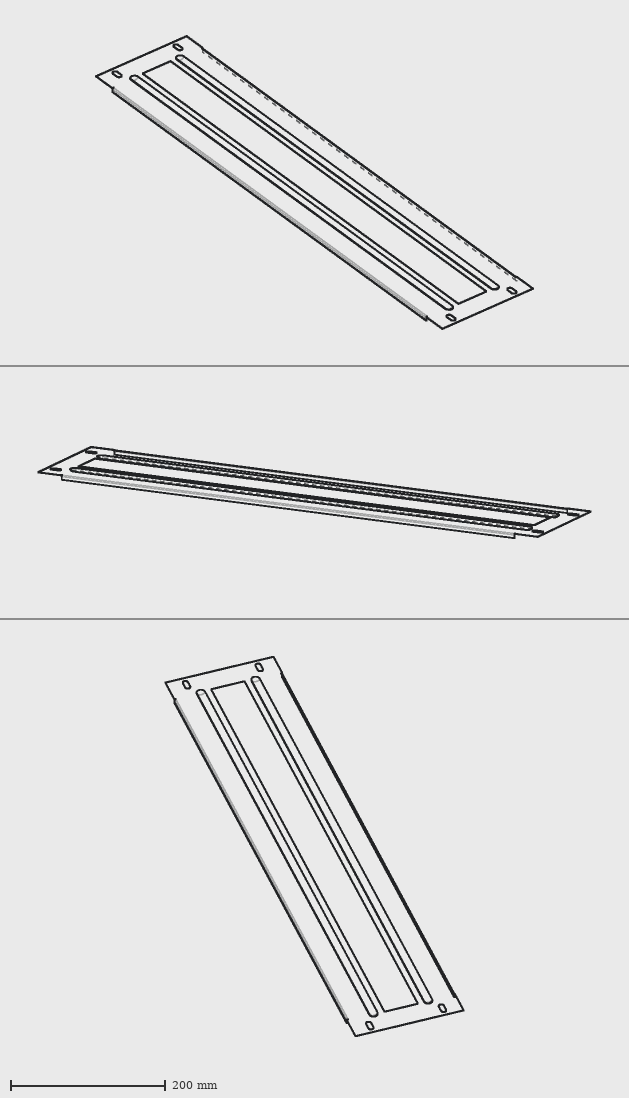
import cadquery as cq
import math

length = 730.0
width = 149.0
height = 6.5
thickness = 0.8

flange_length = 661.5
bend_outer_radius = 2.05
bend_inner_radius = bend_outer_radius - thickness

window_length = 666.0
window_width = 46.0

slot_length = 15.0
slot_width = 6.9
slot_spacing_x = 704.0
slot_spacing_y = 100.0

bead_spacing = 75.0
bead_straight_length = 662.0
groove_width = 11.0
groove_depth = 3.15
groove_radius = ((groove_width / 2) ** 2 + groove_depth**2) / (2 * groove_depth)
groove_axis_height = groove_radius - groove_depth
bead_outer_radius = groove_radius + thickness


def bar(bar_length, bar_width, bar_height):
    """Block centred on X and Y, hanging down from Z = 0."""
    return cq.Workplane("XY").rect(bar_length, bar_width).extrude(-bar_height)


def folded_channel():
    """Middle stretch of the panel with both long edges bent down."""
    outer = bar(flange_length, width, height).edges("|X and >Z").fillet(bend_outer_radius)
    inner = (
        bar(flange_length, width - 2 * thickness, height - thickness)
        .edges("|X and >Z")
        .fillet(bend_inner_radius)
        .translate((0, 0, -thickness))
    )
    return outer.cut(inner)


def end_tab(side):
    """Flat end of the panel beyond the flanges."""
    tab_length = (length - flange_length) / 2
    return bar(tab_length, width, thickness).translate((side * (length - tab_length) / 2, 0, 0))


def round_bar(radius):
    """Round bar along X with ball-shaped ends."""
    half_straight = bead_straight_length / 2
    tip = half_straight + radius
    diagonal = radius * math.sqrt(0.5)
    return (
        cq.Workplane("XY")
        .moveTo(-tip, 0)
        .threePointArc((-half_straight - diagonal, diagonal), (-half_straight, radius))
        .lineTo(half_straight, radius)
        .threePointArc((half_straight + diagonal, diagonal), (tip, 0))
        .close()
        .revolve(360, (0, 0, 0), (1, 0, 0))
    )


result = folded_channel()
for side in (-1, 1):
    result = result.union(end_tab(side))

result = result.cut(bar(window_length, window_width, thickness))
slots = (
    cq.Workplane("XY")
    .rect(slot_spacing_x, slot_spacing_y, forConstruction=True)
    .vertices()
    .slot2D(slot_length, slot_width)
    .extrude(-thickness)
)
result = result.cut(slots)

panel_space = bar(length, width, height)
bead_skin = round_bar(bead_outer_radius).translate((0, 0, groove_axis_height)).intersect(panel_space)
groove = round_bar(groove_radius).translate((0, 0, groove_axis_height))
for side in (-1, 1):
    bead_position = (0, side * bead_spacing / 2, 0)
    result = result.union(bead_skin.translate(bead_position))
    result = result.cut(groove.translate(bead_position))